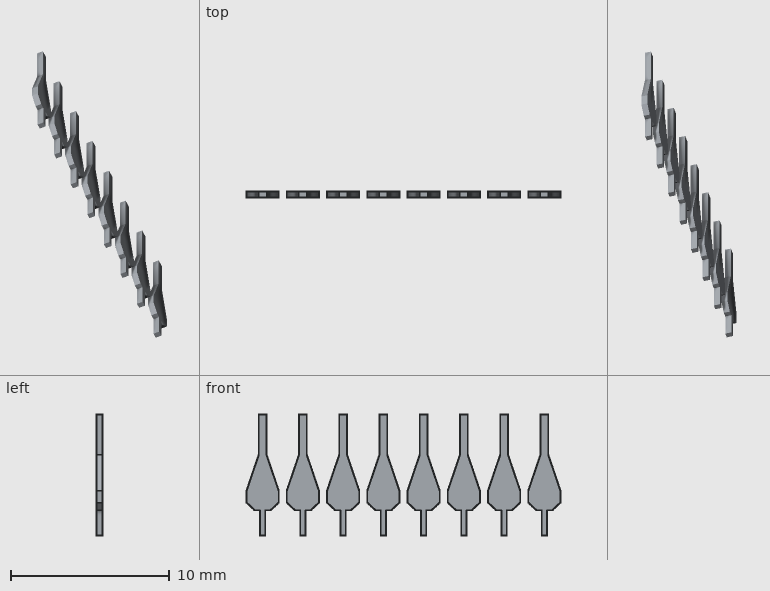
import cadquery as cq

ROW_LENGTH = 19.81
PIN_COUNT = 8
THICKNESS = 0.4
PIN_HEIGHT = 7.65

BLADE_WIDTH = 2.05
NECK_WIDTH = 0.5
TAIL_WIDTH = 0.34
BASE_WIDTH = 1.0

BASE_HEIGHT = 1.58
CHAMFER_TOP = 2.08
TAPER_START = 2.83
NECK_START = 5.11

PITCH = (ROW_LENGTH - BLADE_WIDTH) / (PIN_COUNT - 1)


def make_pin(center_x):
    """Flat pin: narrow tail, wide blade with chamfered base, and a taper up to the neck."""
    right_side = [
        (TAIL_WIDTH / 2, 0),
        (TAIL_WIDTH / 2, BASE_HEIGHT),
        (BASE_WIDTH / 2, BASE_HEIGHT),
        (BLADE_WIDTH / 2, CHAMFER_TOP),
        (BLADE_WIDTH / 2, TAPER_START),
        (NECK_WIDTH / 2, NECK_START),
        (NECK_WIDTH / 2, PIN_HEIGHT),
    ]
    left_side = [(-x, z) for x, z in reversed(right_side)]
    return (
        cq.Workplane("XZ")
        .polyline(right_side + left_side)
        .close()
        .extrude(THICKNESS / 2, both=True)
        .translate((center_x, 0, 0))
    )


first_center_x = -PITCH * (PIN_COUNT - 1) / 2
pins = [make_pin(first_center_x + i * PITCH) for i in range(PIN_COUNT)]

result = cq.Compound.makeCompound([pin.val() for pin in pins])